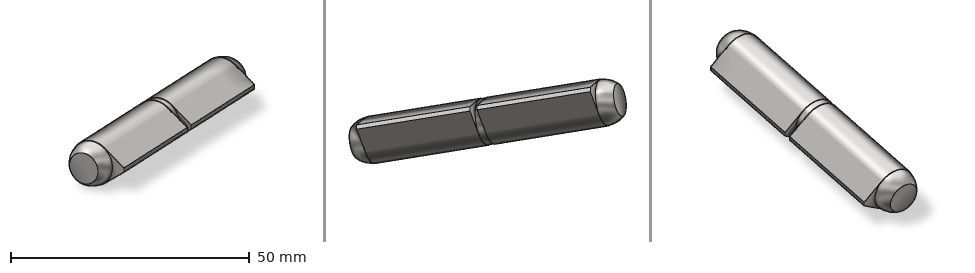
import cadquery as cq
import math

total_length = 60.0
barrel_diameter = 10.0
leaf_reach = 7.7
nose_width = 1.0

cap_diameter = 9.8
cap_length = 3.5
dome_radius = 5.0
ring_diameter = 9.8
ring_width = 1.6

barrel_radius = barrel_diameter / 2
cap_radius = cap_diameter / 2
half_length = total_length / 2
leaf_end = half_length - cap_length
leaf_start = ring_width / 2
leaf_length = leaf_end - leaf_start


def leaf(start_y):
    """Teardrop hinge half: a round barrel with straight flanks tangent to it and a narrow flat nose."""
    corner_z = nose_width / 2
    corner_distance = math.hypot(leaf_reach, corner_z)
    normal_angle = math.atan2(corner_z, leaf_reach) + math.acos(barrel_radius / corner_distance)
    tangent_x = barrel_radius * math.cos(normal_angle)
    tangent_z = barrel_radius * math.sin(normal_angle)
    return (
        cq.Workplane("XZ", origin=(0, start_y, 0))
        .moveTo(tangent_x, tangent_z)
        .threePointArc((-barrel_radius, 0), (tangent_x, -tangent_z))
        .lineTo(leaf_reach, -corner_z)
        .lineTo(leaf_reach, corner_z)
        .close()
        .extrude(-leaf_length)
    )


def core():
    """Ring between the halves and the domed caps, turned in one profile about Y."""
    arc_center = cap_radius - dome_radius
    end_angle = math.asin(cap_length / dome_radius)
    face_radius = arc_center + dome_radius * math.cos(end_angle)
    mid_radius = arc_center + dome_radius * math.cos(end_angle / 2)
    mid_y = leaf_end + dome_radius * math.sin(end_angle / 2)
    ring_radius = ring_diameter / 2
    return (
        cq.Workplane("XY")
        .moveTo(0, -half_length)
        .lineTo(face_radius, -half_length)
        .threePointArc((mid_radius, -mid_y), (cap_radius, -leaf_end))
        .lineTo(ring_radius, -leaf_start)
        .lineTo(ring_radius, leaf_start)
        .lineTo(cap_radius, leaf_end)
        .threePointArc((mid_radius, mid_y), (face_radius, half_length))
        .lineTo(0, half_length)
        .close()
        .revolve(360, (0, 0, 0), (0, 1, 0))
    )


result = core()
for start_y in (-leaf_end, leaf_start):
    result = result.union(leaf(start_y))